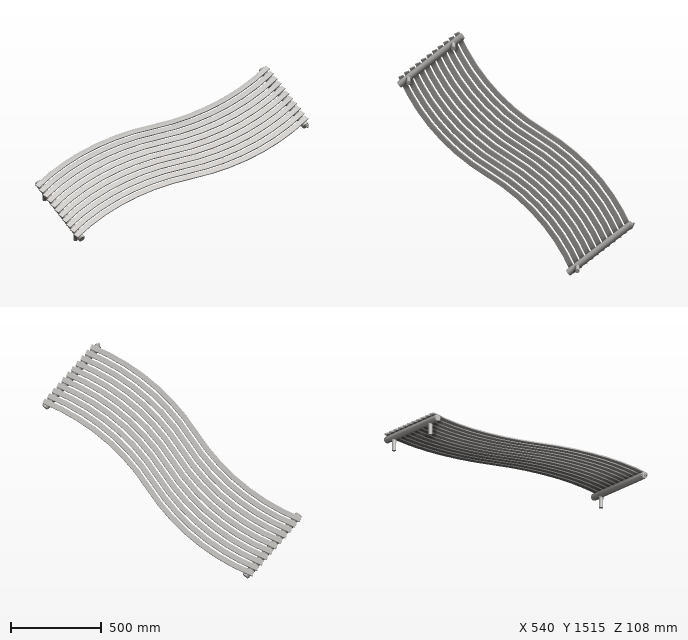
import cadquery as cq
import math

TUBE_COUNT = 11
TUBE_SPAN = 400.0
TUBE_WIDTH = 30.0
TUBE_THICKNESS = 9.0
TUBE_EDGE_FILLET = 2.3
OVERALL_LENGTH = 1515.0
OVERALL_WIDTH = 540.0
BEND_RADIUS = 1242.0

HEADER_Y = 725.0
HEADER_Z = -27.0
HEADER_RADIUS = 20.0
HEADER_LENGTH = 455.0
CAP_RADIUS = 18.0
CAP_THICKNESS = 5.0

LEG_X = 160.0
LEG_RADIUS = 12.0
LEG_BOTTOM = -108.0
STUB_BOTTOM = -55.0
STUB_RADIUS = 12.4
COLLAR_HEIGHT = 5.0

VENT_OFFSET = 6.0
VENT_COLLAR_RADIUS = 10.0
VENT_COLLAR_LENGTH = 5.0
VENT_TIP_RADIUS = 6.0
VENT_TIP_LENGTH = 9.0

tube_pitch = TUBE_SPAN / (TUBE_COUNT - 1)

bow = (OVERALL_WIDTH - TUBE_SPAN - TUBE_WIDTH) / 2
middle_angle = math.acos(1 - bow / BEND_RADIUS)
crest_y = BEND_RADIUS * math.sin(middle_angle)
inner = BEND_RADIUS - TUBE_WIDTH / 2
outer = BEND_RADIUS + TUBE_WIDTH / 2
end_angle = math.asin((OVERALL_LENGTH / 2 - crest_y) / outer)


def bend_point(radius, angle):
    """Point of the upper bend; the angle is measured from the crest, positive toward the end."""
    x = bow - BEND_RADIUS + radius * math.cos(angle)
    y = crest_y + radius * math.sin(angle)
    return x, y


def opposite(point):
    """The same point on the lower bend, half a turn away about the middle of the S."""
    return -point[0], -point[1]


def s_tube():
    outer_end = bend_point(outer, end_angle)
    outer_crest = bend_point(outer, 0)
    outer_middle = bend_point(outer, -middle_angle)
    inner_end = bend_point(inner, end_angle)
    inner_crest = bend_point(inner, 0)
    return (
        cq.Workplane("XY")
        .moveTo(*outer_end)
        .threePointArc(outer_crest, outer_middle)
        .threePointArc(opposite(inner_crest), opposite(inner_end))
        .lineTo(*opposite(outer_end))
        .threePointArc(opposite(outer_crest), opposite(outer_middle))
        .threePointArc(inner_crest, inner_end)
        .close()
        .extrude(-TUBE_THICKNESS)
        .edges("%CIRCLE")
        .fillet(TUBE_EDGE_FILLET)
    )


def header(y):
    axis = cq.Workplane("YZ", origin=(0, y, HEADER_Z))
    pipe = axis.circle(HEADER_RADIUS).extrude(HEADER_LENGTH / 2 - CAP_THICKNESS, both=True)
    caps = axis.circle(CAP_RADIUS).extrude(HEADER_LENGTH / 2, both=True)
    return pipe.union(caps)


def stub(x, y):
    return cq.Workplane("XY", origin=(x, y, STUB_BOTTOM)).circle(STUB_RADIUS).extrude(HEADER_Z - STUB_BOTTOM)


def vent():
    return (
        cq.Workplane("YZ", origin=(HEADER_LENGTH / 2, HEADER_Y + VENT_OFFSET, HEADER_Z))
        .circle(VENT_COLLAR_RADIUS)
        .extrude(VENT_COLLAR_LENGTH)
        .faces(">X")
        .workplane()
        .circle(VENT_TIP_RADIUS)
        .extrude(VENT_TIP_LENGTH)
    )


def leg(x, y):
    return (
        cq.Workplane("XY", origin=(x, y, LEG_BOTTOM))
        .circle(LEG_RADIUS)
        .extrude(STUB_BOTTOM - COLLAR_HEIGHT - LEG_BOTTOM)
        .faces(">Z")
        .workplane()
        .circle(STUB_RADIUS)
        .extrude(COLLAR_HEIGHT)
    )


leg_places = [(-LEG_X, -HEADER_Y), (LEG_X, -HEADER_Y), (-LEG_X, HEADER_Y)]

radiator = header(HEADER_Y).union(header(-HEADER_Y)).union(vent())
for x, y in leg_places:
    radiator = radiator.union(stub(x, y))
tube = s_tube()
for i in range(TUBE_COUNT):
    tube_x = i * tube_pitch - TUBE_SPAN / 2
    radiator = radiator.union(tube.translate((tube_x, 0, 0)))

legs = [leg(x, y).val() for x, y in leg_places]

result = cq.Compound.makeCompound([radiator.val(), *legs])